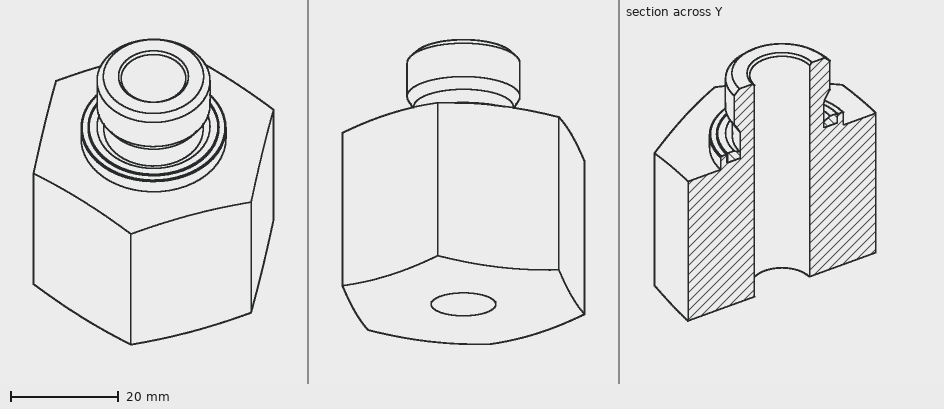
import cadquery as cq
import math

total_height = 49.0
hex_across_flats = 41.0
hex_height = 32.05
hex_chamfer_angle = 15.0

collar_diameter = 26.9
lip_top_z = 35.05
collar_chamfer = 0.2

recess_diameter = 24.0
recess_depth = 1.95
recess_edge_chamfer = 0.15
ring_diameter = 23.9
ring_bevel_diameter = 20.95
ring_bevel_angle = 30.0
ring_top_z = 35.25

spigot_diameter = 20.95
tip_chamfer = 1.2
neck_diameter = 18.4
cone_end_diameter = 18.5
cone_top_z = 41.2
cone_bottom_z = 39.15
neck_top_z = 38.7

bore_diameter = 12.0
bore_mouth_chamfer = 0.5

hex_across_corners = hex_across_flats / math.cos(math.radians(30))
recess_floor_z = lip_top_z - recess_depth


def revolve_profile(points):
    """Revolve a closed (radius, z) outline about the Z axis."""
    return cq.Workplane("XZ").polyline(points).close().revolve(360, (0, 0, 0), (0, 1, 0))


def make_hexagon():
    """Hexagonal prism with corners on Y and conically chamfered ends."""
    prism = (
        cq.Workplane("XY")
        .polygon(6, hex_across_corners)
        .extrude(hex_height)
        .rotate((0, 0, 0), (0, 0, 1), 30)
    )
    flat_radius = hex_across_flats / 2
    corner_radius = hex_across_corners / 2
    chamfer_drop = (corner_radius - flat_radius) * math.tan(math.radians(hex_chamfer_angle))
    envelope = revolve_profile([
        (0, 0),
        (flat_radius, 0),
        (corner_radius, chamfer_drop),
        (corner_radius, hex_height - chamfer_drop),
        (flat_radius, hex_height),
        (0, hex_height),
    ])
    return prism.intersect(envelope)


def make_collar_and_spigot():
    """Turned upper end: recessed collar, neck, cone and chamfered spigot."""
    collar_radius = collar_diameter / 2
    recess_radius = recess_diameter / 2
    neck_radius = neck_diameter / 2
    spigot_radius = spigot_diameter / 2
    return revolve_profile([
        (0, hex_height),
        (collar_radius, hex_height),
        (collar_radius, lip_top_z - collar_chamfer),
        (collar_radius - collar_chamfer, lip_top_z),
        (recess_radius + recess_edge_chamfer, lip_top_z),
        (recess_radius, lip_top_z - recess_edge_chamfer),
        (recess_radius, recess_floor_z),
        (neck_radius, recess_floor_z),
        (neck_radius, neck_top_z),
        (cone_end_diameter / 2, cone_bottom_z),
        (spigot_radius, cone_top_z),
        (spigot_radius, total_height - tip_chamfer),
        (spigot_radius - tip_chamfer, total_height),
        (0, total_height),
    ])


def make_bore():
    """Cutter for the through bore and its chamfered upper mouth."""
    bore_radius = bore_diameter / 2
    return revolve_profile([
        (0, 0),
        (bore_radius, 0),
        (bore_radius, total_height - bore_mouth_chamfer),
        (bore_radius + bore_mouth_chamfer, total_height),
        (0, total_height),
    ])


def make_fitting():
    return make_hexagon().union(make_collar_and_spigot()).cut(make_bore())


def make_sealing_ring():
    """Ring around the neck on the recess floor, with its inner top edge bevelled down to the neck."""
    inner_radius = neck_diameter / 2
    outer_radius = ring_diameter / 2
    bevel_radius = ring_bevel_diameter / 2
    bevel_drop = (bevel_radius - inner_radius) * math.tan(math.radians(ring_bevel_angle))
    return revolve_profile([
        (inner_radius, recess_floor_z),
        (outer_radius, recess_floor_z),
        (outer_radius, ring_top_z),
        (bevel_radius, ring_top_z),
        (inner_radius, ring_top_z - bevel_drop),
    ])


fitting = make_fitting()
sealing_ring = make_sealing_ring()
result = cq.Compound.makeCompound([fitting.val(), sealing_ring.val()])